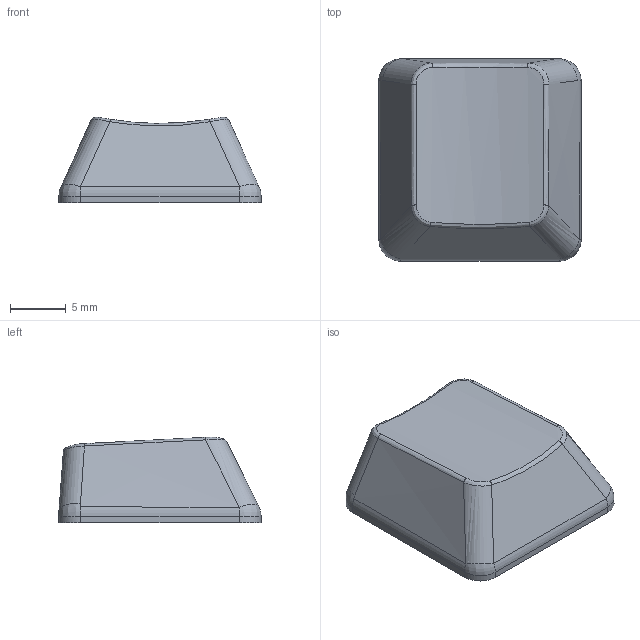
import cadquery as cq
import math

base_width = 18.16
skirt_height = 1.02

cap_height = 7.84
cap_tilt = 3.0
cap_width = 11.80
cap_front_y = -5.56
cap_back_y = 8.60
wall_radius = 1.95

scoop_radius = 26.0
scoop_depth = 0.98
scoop_length = 3 * base_width
rim_radius = 0.4


def cap_z(y):
    """Height of the tilted cap plane at a given Y."""
    return cap_height - y * math.tan(math.radians(cap_tilt))


def rectangle_wire(width, front_y, back_y, height_at):
    """Closed rectangle, symmetric about X = 0, whose height is a function of Y."""
    half = width / 2
    corners = [(-half, front_y), (half, front_y), (half, back_y), (-half, back_y)]
    return cq.Wire.makePolygon([cq.Vector(x, y, height_at(y)) for x, y in corners], close=True)


def sharp_body():
    """Upright skirt topped by walls that lean in to the tilted cap plane."""
    half_base = base_width / 2
    bottom = rectangle_wire(base_width, -half_base, half_base, lambda y: 0)
    shoulder = rectangle_wire(base_width, -half_base, half_base, lambda y: skirt_height)
    cap = rectangle_wire(cap_width, cap_front_y, cap_back_y, cap_z)
    return cq.Workplane(cq.Solid.makeLoft([bottom, shoulder, cap], True))


def round_walls(body):
    """Round the upright corners and the shoulder together, leaving the bottom and cap sharp."""
    kept_sharp = body.faces("<Z").edges().vals() + body.faces(">Z").edges().vals()
    rounded = [edge for edge in body.edges().vals() if not any(edge.isSame(sharp) for sharp in kept_sharp)]
    return body.newObject(rounded).fillet(wall_radius)


def finger_scoop():
    """Cylinder that dishes the cap from side to side."""
    axis_height = cap_height - scoop_depth + scoop_radius
    axis_plane = cq.Plane(origin=(0, 0, axis_height)).rotated((-cap_tilt, 0, 0))
    start = axis_plane.origin - axis_plane.yDir * (scoop_length / 2)
    return cq.Workplane(cq.Solid.makeCylinder(scoop_radius, scoop_length, start, axis_plane.yDir))


def round_rim(body):
    """Soften the edge between the scooped top and the walls."""
    scooped_top = body.faces("%CYLINDER").faces(">Z")
    return scooped_top.edges().fillet(rim_radius)


keycap = round_walls(sharp_body())
keycap = keycap.cut(finger_scoop())
result = round_rim(keycap)